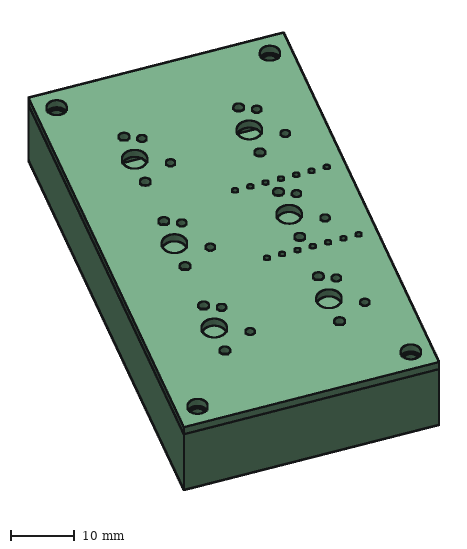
import cadquery as cq

LENGTH = 74.5
WIDTH = 42.5
HEIGHT = 14.6
BOARD_THICKNESS = 1.65
CASE_HEIGHT = HEIGHT - BOARD_THICKNESS

END_BLOCK = 8.0
SIDE_WALL = 2.0
FLOOR_THICKNESS = 3.0
CAVITY_LENGTH = LENGTH - 2 * END_BLOCK
CAVITY_WIDTH = WIDTH - 2 * SIDE_WALL
CAVITY_DEPTH = CASE_HEIGHT - FLOOR_THICKNESS
CONNECTOR_GAP = 18.6

SCREW_INSET = 3.5
BOARD_SCREW_DIAMETER = 3.2
CASE_SCREW_DIAMETER = 2.5
RECESS_DIAMETER = 3.05
RECESS_DEPTH = 0.2

KEY_PITCH = 19.1
PIN_GRID = KEY_PITCH / 7.5
KEY_COLUMNS = 3
KEY_ROWS = 2
KEYS_X = -0.26
KEYS_Y = -0.24
POST_DIAMETER = 4.0
PEG_DIAMETER = 1.7
CONTACT_DIAMETER = 1.5
PEG_OFFSETS = [(-2 * PIN_GRID, 0), (2 * PIN_GRID, 0)]
CONTACT_OFFSETS = [(-1.5 * PIN_GRID, PIN_GRID), (PIN_GRID, 2 * PIN_GRID)]

HEADER_PINS = 7
HEADER_DIAMETER = 1.0
HEADER_SPACING = 6 * PIN_GRID
HEADER_X = KEYS_X
HEADER_Y = 10.6


def screw_points(body):
    top = body.faces(">Z").workplane(origin=(0, 0, 0))
    return top.rect(LENGTH - 2 * SCREW_INSET, WIDTH - 2 * SCREW_INSET, forConstruction=True).vertices()


def make_case():
    case = cq.Workplane("XY").box(LENGTH, WIDTH, CASE_HEIGHT, centered=(True, True, False))
    cavity = (
        cq.Workplane("XY", origin=(0, 0, FLOOR_THICKNESS))
        .box(CAVITY_LENGTH, CAVITY_WIDTH, CAVITY_DEPTH, centered=(True, True, False))
    )
    gap = (
        cq.Workplane("XY", origin=(0, WIDTH / 2 - SIDE_WALL, FLOOR_THICKNESS))
        .box(CONNECTOR_GAP, SIDE_WALL, CAVITY_DEPTH, centered=(True, False, False))
    )
    case = case.cut(cavity).cut(gap)
    return screw_points(case).cboreHole(
        CASE_SCREW_DIAMETER, RECESS_DIAMETER, RECESS_DEPTH
    )


def drill(board, points, diameter):
    return board.faces(">Z").workplane(origin=(0, 0, 0)).pushPoints(points).hole(diameter)


def key_centres():
    return [
        (
            KEYS_X + (column - (KEY_COLUMNS - 1) / 2) * KEY_PITCH,
            KEYS_Y + (row - (KEY_ROWS - 1) / 2) * KEY_PITCH,
        )
        for column in range(KEY_COLUMNS)
        for row in range(KEY_ROWS)
    ]


def header_pin_centres():
    return [
        (HEADER_X + side * HEADER_SPACING / 2, HEADER_Y + (pin - (HEADER_PINS - 1) / 2) * PIN_GRID)
        for side in (-1, 1)
        for pin in range(HEADER_PINS)
    ]


def make_board():
    board = (
        cq.Workplane("XY", origin=(0, 0, CASE_HEIGHT))
        .box(LENGTH, WIDTH, BOARD_THICKNESS, centered=(True, True, False))
    )
    board = screw_points(board).hole(BOARD_SCREW_DIAMETER)

    keys = key_centres()
    pegs = [(x + dx, y + dy) for x, y in keys for dx, dy in PEG_OFFSETS]
    contacts = [(x + dx, y + dy) for x, y in keys for dx, dy in CONTACT_OFFSETS]
    board = drill(board, keys, POST_DIAMETER)
    board = drill(board, pegs, PEG_DIAMETER)
    board = drill(board, contacts, CONTACT_DIAMETER)
    return drill(board, header_pin_centres(), HEADER_DIAMETER)


case = make_case()
board = make_board()

result = cq.Compound.makeCompound([case.val(), board.val()])